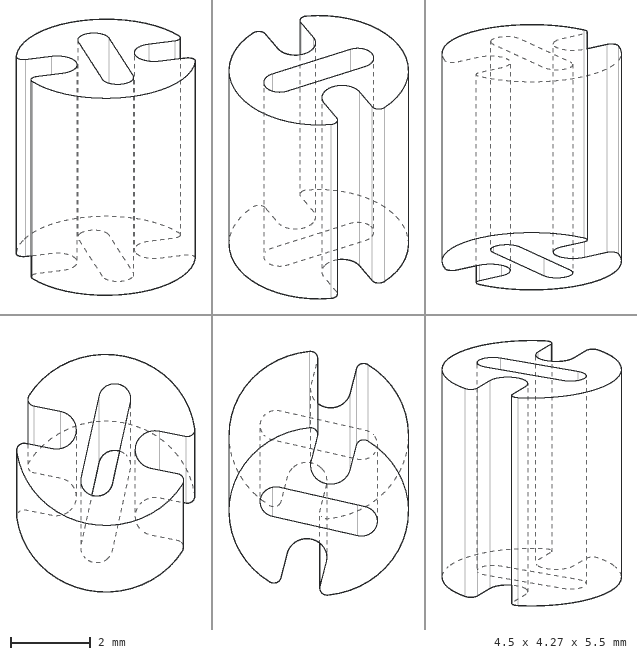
import cadquery as cq

height = 5.5
body_diameter = 4.5
groove_width = 1.0
groove_floor = 0.765
lip_radius = 0.185
slot_length = 3.0
slot_width = 0.8

body_radius = body_diameter / 2
groove_radius = groove_width / 2


def groove_cutter(side):
    """Round-bottomed groove along Z, open towards +Y (side=1) or -Y (side=-1)."""
    arc_end = side * (groove_floor + groove_radius)
    return (
        cq.Workplane("XY")
        .moveTo(-groove_radius, side * body_diameter)
        .lineTo(-groove_radius, arc_end)
        .threePointArc((0, side * groove_floor), (groove_radius, arc_end))
        .lineTo(groove_radius, side * body_diameter)
        .close()
        .extrude(height)
    )


body = cq.Workplane("XY").circle(body_radius).extrude(height)
for side in (1, -1):
    body = body.cut(groove_cutter(side))

lip_y = (body_radius**2 - groove_radius**2) ** 0.5
for x in (-groove_radius, groove_radius):
    for y in (-lip_y, lip_y):
        lip_edge = cq.NearestToPointSelector((x, y, height / 2))
        body = body.edges(lip_edge).fillet(lip_radius)

slot = cq.Workplane("XY").slot2D(slot_length, slot_width).extrude(height)
result = body.cut(slot)